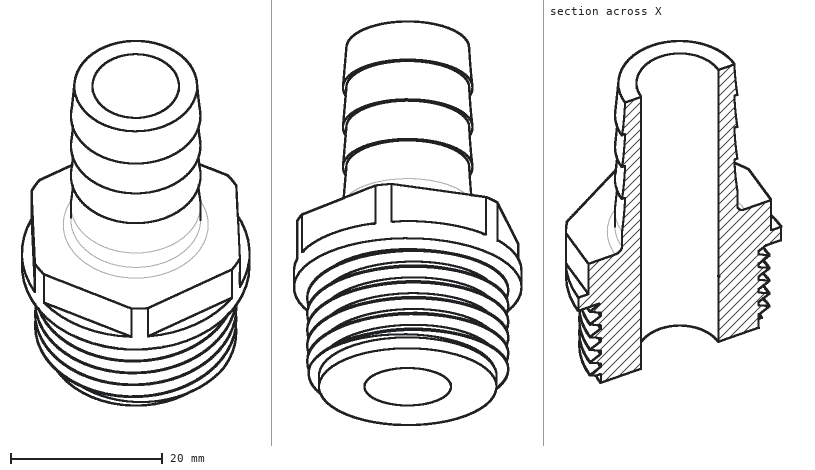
import cadquery as cq
import math

total_height = 49.5
thread_start_z = 1.6
collar_bottom_z = 14.5
collar_top_z = 17.0
hex_top_z = 22.5

collar_diameter = 30.0
hex_sides = 6
hex_across_flats = 27.0
bore_diameter = 11.4

barb_count = 4
barb_pitch = 5.8
barb_tip_diameter = 16.2
barb_root_diameter = 17.1
neck_fillet_radius = 1.0

thread_root_diameter = 23.4
thread_major_diameter = 26.5
thread_pitch = 2.31
thread_flank_angle = 27.5
thread_crest_width = 0.15
thread_crest_z = 1.53
thread_overlap = 0.2


def cylinder(diameter, bottom_z, top_z):
    """Solid cylinder on the Z axis between two heights."""
    return cq.Workplane("XY").workplane(offset=bottom_z).circle(diameter / 2).extrude(top_z - bottom_z)


def make_hexagon():
    """Hexagon with flats facing +Y and -Y, its corners rounded to the collar diameter."""
    corner_diameter = hex_across_flats / math.cos(math.pi / hex_sides)
    prism = (
        cq.Workplane("XY")
        .workplane(offset=collar_top_z)
        .polygon(hex_sides, corner_diameter)
        .extrude(hex_top_z - collar_top_z)
    )
    return prism.intersect(cylinder(collar_diameter, collar_top_z, hex_top_z))


def make_hose_barb():
    """Revolved barb: a filleted neck, then cones that narrow toward the open end."""
    root_radius = barb_root_diameter / 2
    tip_radius = barb_tip_diameter / 2
    arc_center_r = root_radius + neck_fillet_radius
    arc_center_z = hex_top_z + neck_fillet_radius
    arc_reach = neck_fillet_radius * math.sqrt(0.5)
    cones_bottom_z = total_height - barb_count * barb_pitch

    profile = (
        cq.Workplane("XZ")
        .moveTo(0, hex_top_z)
        .lineTo(arc_center_r, hex_top_z)
        .threePointArc(
            (arc_center_r - arc_reach, arc_center_z - arc_reach),
            (root_radius, arc_center_z),
        )
    )
    for index in range(barb_count):
        cone_bottom_z = cones_bottom_z + index * barb_pitch
        profile = profile.lineTo(root_radius, cone_bottom_z)
        profile = profile.lineTo(tip_radius, cone_bottom_z + barb_pitch)
    return profile.lineTo(0, total_height).close().revolve(360, (0, 0), (0, 1))


def make_threaded_core():
    """Core with a helical ridge, cut flat at its lower end and running into the collar above."""
    inner_radius = thread_root_diameter / 2 - thread_overlap
    outer_radius = thread_major_diameter / 2
    half_crest = thread_crest_width / 2
    flank_rise = (outer_radius - inner_radius) * math.tan(math.radians(thread_flank_angle))
    half_base = half_crest + flank_rise

    helix_bottom_z = thread_crest_z - thread_pitch
    turns = math.ceil((collar_top_z - helix_bottom_z) / thread_pitch)
    helix = cq.Wire.makeHelix(thread_pitch, turns * thread_pitch, inner_radius)
    ridge = (
        cq.Workplane("XZ")
        .polyline(
            [
                (inner_radius, -half_base),
                (outer_radius, -half_crest),
                (outer_radius, half_crest),
                (inner_radius, half_base),
            ]
        )
        .close()
        .sweep(cq.Workplane(helix), isFrenet=True)
        .translate((0, 0, helix_bottom_z))
    )
    long_core = cylinder(thread_root_diameter, helix_bottom_z - thread_pitch, collar_top_z + thread_pitch)
    return long_core.union(ridge).intersect(cylinder(collar_diameter, thread_start_z, collar_bottom_z))


plain_end = cylinder(thread_root_diameter, 0, thread_start_z)
collar = cylinder(collar_diameter, collar_bottom_z, collar_top_z)
bore = cylinder(bore_diameter, 0, total_height)

threaded_end = make_threaded_core().union(plain_end)
body = threaded_end.union(collar).union(make_hexagon()).union(make_hose_barb())
result = body.cut(bore)